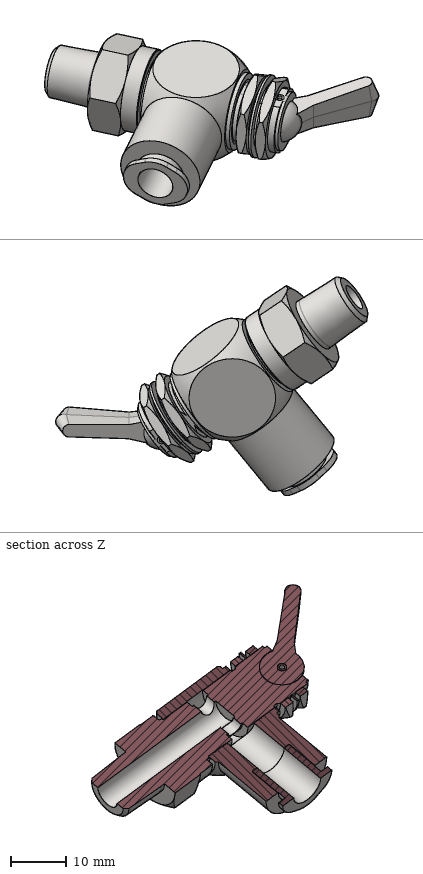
import cadquery as cq
import math


nipple_tip_x = -27.6
nipple_chamfer = 0.75
nipple_tip_radius = 4.9
nipple_root_x = -19.0
nipple_root_radius = 5.15
nipple_bore_radius = 2.5
hex_start_x = -18.2
hex_end_x = -11.85
hex_across_flats = 15.85
hex_turn = 80.8
collar_end_x = -8.66
collar_radius = 7.9
collar_chamfer = 0.15
neck_radius = 6.36
thread_radius = 6.0
barrel_radius = thread_radius
groove_radius = 4.55
groove_centre_x = -0.13
groove_half_width = 1.95
groove_start_x = groove_centre_x - groove_half_width
groove_end_x = groove_centre_x + groove_half_width
stem_port_radius = 1.58
bore_end_x = groove_end_x
undercut_radius = 5.55
thread_start_x = 9.52
thread_end_x = 16.85
thread_lead = thread_radius - undercut_radius
thread_flat_z = 5.4
stem_end_x = 17.42
stem_end_radius = 5.46

body_length = 16.0
body_width = 16.4
body_height = 15.8
body_sphere_radius = 11.14
boss_end_x = 8.75
boss_radius = 7.18
port_radius = 7.58
port_end_y = -20.79

collet_end_y = -23.65
collet_flange_y = -22.5
collet_inner_y = -14.0
collet_neck_radius = 4.55
collet_bore_radius = 3.33
flange_centre_radius = 4.92
flange_side_radius = 4.0
flange_side_offset = 2.13

nut_thickness = 1.95
nut_across_flats = 14.46
inner_nut_x = 9.99
outer_nut_x = 13.68
inner_nut_turn = 39.7
outer_nut_turn = 34.5
washer_x = 12.54
washer_thickness = 0.45
washer_radius = 7.7

hex_chamfer_angle = 30.0

pivot_x = 16.0
ball_radius = 4.06
lever_angle = 40.25
lever_root = 2.0
lever_root_half_width = 2.5
lever_waist = 6.0
lever_waist_half_width = 1.6
lever_shoulder = 17.4
lever_edge_shoulder = 16.95
lever_half_width = 1.45
lever_tip = 19.29
lever_edge_tip = 18.0
lever_edge_draft = 0.17
lever_root_half_height = 2.35
lever_shoulder_half_height = 3.74
pin_radius = 0.8
pin_bore_radius = 0.43


def cylinder_x(start_x, end_x, radius):
    return cq.Workplane("YZ", origin=(start_x, 0, 0)).circle(radius).extrude(end_x - start_x)


def cylinder_y(start_y, end_y, radius):
    """Cylinder along Y from start_y towards the more negative end_y."""
    return cq.Workplane("XZ", origin=(0, start_y, 0)).circle(radius).extrude(start_y - end_y)


def pivot_cylinder(radius):
    start_z = -thread_flat_z
    return cq.Workplane("XY", origin=(pivot_x, 0, start_z)).circle(radius).extrude(2 * thread_flat_z)


def ball():
    return cq.Workplane("XY", origin=(pivot_x, 0, 0)).sphere(ball_radius)


def chamfered_hexagon(start_x, thickness, across_flats, turn):
    """Hexagon along X, both ends coned off; one corner lies `turn` degrees up from -Y."""
    apothem = across_flats / 2
    corner_radius = apothem / math.cos(math.radians(30))
    prism = (
        cq.Workplane("YZ", origin=(start_x, 0, 0))
        .polygon(6, 2 * corner_radius)
        .extrude(thickness)
        .rotate((0, 0, 0), (1, 0, 0), 180 - turn)
    )
    outer_radius = 1.1 * corner_radius
    cone_drop = (outer_radius - apothem) * math.tan(math.radians(hex_chamfer_angle))
    end_x = start_x + thickness
    double_cone = (
        cq.Workplane("XY")
        .moveTo(start_x, 0)
        .lineTo(start_x, apothem)
        .lineTo(start_x + cone_drop, outer_radius)
        .lineTo(end_x - cone_drop, outer_radius)
        .lineTo(end_x, apothem)
        .lineTo(end_x, 0)
        .close()
        .revolve(360, (0, 0, 0), (1, 0, 0))
    )
    return prism.intersect(double_cone)


def make_stem():
    profile = [
        (nipple_tip_x, 0),
        (nipple_tip_x, nipple_tip_radius - nipple_chamfer),
        (nipple_tip_x + nipple_chamfer, nipple_tip_radius),
        (nipple_root_x, nipple_root_radius),
        (hex_start_x, nipple_root_radius),
        (hex_end_x, nipple_root_radius),
        (hex_end_x, collar_radius),
        (collar_end_x - collar_chamfer, collar_radius),
        (collar_end_x, collar_radius - collar_chamfer),
        (collar_end_x, neck_radius),
        (-body_length / 2, neck_radius),
        (-body_length / 2, barrel_radius),
        (groove_start_x, barrel_radius),
        (groove_start_x, groove_radius),
        (groove_end_x, groove_radius),
        (groove_end_x, barrel_radius),
        (boss_end_x, barrel_radius),
        (boss_end_x, undercut_radius),
        (thread_start_x, undercut_radius),
        (thread_start_x + thread_lead, thread_radius),
        (thread_end_x, thread_radius),
        (thread_end_x, stem_end_radius),
        (stem_end_x, stem_end_radius),
        (stem_end_x, 0),
    ]
    turned = cq.Workplane("XY").polyline(profile).close().revolve(360, (0, 0, 0), (1, 0, 0))
    hexagon = chamfered_hexagon(hex_start_x, hex_end_x - hex_start_x, hex_across_flats, hex_turn)
    stem = turned.union(hexagon)
    stem = stem.cut(cylinder_x(nipple_tip_x, bore_end_x, nipple_bore_radius))
    cross_hole = cylinder_y(groove_radius, -groove_radius, stem_port_radius)
    stem = stem.cut(cross_hole.translate((groove_centre_x, 0, 0)))
    flat_length = stem_end_x - boss_end_x
    flat_depth = thread_radius - thread_flat_z
    for side in (-1, 1):
        flat = cq.Workplane("XY").box(flat_length, 2 * thread_radius, flat_depth)
        flat_centre = (boss_end_x + flat_length / 2, 0, side * (thread_flat_z + flat_depth / 2))
        stem = stem.cut(flat.translate(flat_centre))
    return stem.cut(ball()).cut(pivot_cylinder(pin_radius))


def make_swivel_body():
    block = cq.Workplane("XY").box(body_length, body_width, body_height)
    body = block.intersect(cq.Workplane("XY").sphere(body_sphere_radius))
    body = body.union(cylinder_y(0, port_end_y, port_radius))
    body = body.union(cylinder_x(0, boss_end_x, boss_radius))
    body = body.cut(cylinder_x(-body_length / 2, boss_end_x, barrel_radius))
    body = body.cut(cylinder_y(0, collet_inner_y, collet_bore_radius))
    return body.cut(cylinder_y(collet_inner_y, port_end_y, collet_neck_radius))


def make_collet():
    tangent_angle = math.asin((flange_centre_radius - flange_side_radius) / flange_side_offset)
    across = math.sin(tangent_angle)
    up = math.cos(tangent_angle)
    centre_x = flange_centre_radius * across
    centre_z = flange_centre_radius * up
    side_x = flange_side_offset + flange_side_radius * across
    side_z = flange_side_radius * up
    end_x = flange_side_offset + flange_side_radius
    flange = (
        cq.Workplane("XZ", origin=(0, collet_flange_y, 0))
        .moveTo(-centre_x, centre_z)
        .threePointArc((0, flange_centre_radius), (centre_x, centre_z))
        .lineTo(side_x, side_z)
        .threePointArc((end_x, 0), (side_x, -side_z))
        .lineTo(centre_x, -centre_z)
        .threePointArc((0, -flange_centre_radius), (-centre_x, -centre_z))
        .lineTo(-side_x, -side_z)
        .threePointArc((-end_x, 0), (-side_x, side_z))
        .close()
        .extrude(collet_flange_y - collet_end_y)
    )
    collet = flange.union(cylinder_y(collet_inner_y, collet_flange_y, collet_neck_radius))
    return collet.cut(cylinder_y(collet_inner_y, collet_end_y, collet_bore_radius))


def make_nut(start_x, turn):
    nut = chamfered_hexagon(start_x, nut_thickness, nut_across_flats, turn)
    return nut.cut(cylinder_x(start_x, start_x + nut_thickness, thread_radius))


def make_washer():
    end_x = washer_x + washer_thickness
    return cylinder_x(washer_x, end_x, washer_radius).cut(cylinder_x(washer_x, end_x, thread_radius))


def paddle_outline(plane, stretch, draft, shoulder_reach, tip):
    """Closed lever outline; `stretch` lengthens it to fit a plane tilted out of the lever plane."""
    root = lever_root * stretch
    waist = lever_waist * stretch
    shoulder = shoulder_reach * stretch
    root_half = lever_root_half_width - draft
    waist_half = lever_waist_half_width - draft
    half = lever_half_width - draft
    return (
        cq.Workplane(plane)
        .moveTo(root, -root_half)
        .lineTo(waist, -waist_half)
        .lineTo(shoulder, -half)
        .threePointArc((tip * stretch, 0), (shoulder, half))
        .lineTo(waist, waist_half)
        .lineTo(root, root_half)
        .close()
        .val()
    )


def make_lever():
    rise = lever_shoulder_half_height - lever_root_half_height
    slope = rise / (lever_edge_shoulder - lever_root)
    start_height = lever_root_half_height - slope * lever_root
    edge_plane = cq.Plane(origin=(0, 0, start_height), xDir=(1, 0, slope), normal=(-slope, 0, 1))
    middle = paddle_outline(cq.Plane.XY(), 1, 0, lever_shoulder, lever_tip)
    edge = paddle_outline(
        edge_plane, math.hypot(1, slope), lever_edge_draft, lever_edge_shoulder, lever_edge_tip
    )
    upper_half = cq.Workplane(cq.Solid.makeLoft([middle, edge], True))
    paddle = upper_half.union(upper_half.mirror("XY"))
    paddle = paddle.rotate((0, 0, 0), (0, 0, 1), lever_angle).translate((pivot_x, 0, 0))
    clear_of_stem = cq.Workplane("XY").box(lever_tip, 2 * lever_tip, 2 * lever_tip)
    paddle = paddle.intersect(clear_of_stem.translate((stem_end_x + lever_tip / 2, 0, 0)))
    return ball().union(paddle).cut(pivot_cylinder(pin_radius))


def make_pin():
    return pivot_cylinder(pin_radius).cut(pivot_cylinder(pin_bore_radius))


stem = make_stem()
swivel_body = make_swivel_body()
collet = make_collet()
nuts = []
for nut_x, nut_turn in ((inner_nut_x, inner_nut_turn), (outer_nut_x, outer_nut_turn)):
    nuts.append(make_nut(nut_x, nut_turn).val())
washer = make_washer()
lever = make_lever()
pin = make_pin()

result = cq.Compound.makeCompound(
    [stem.val(), swivel_body.val(), collet.val(), *nuts, washer.val(), lever.val(), pin.val()]
)